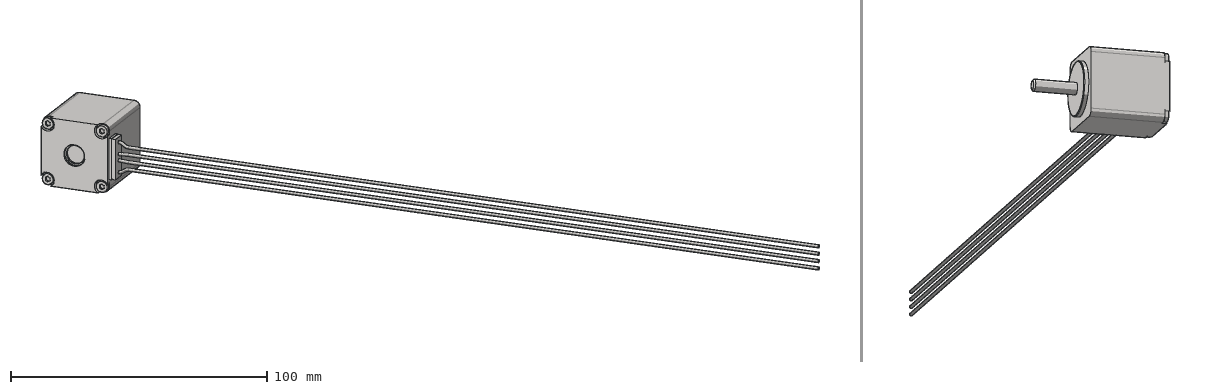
import cadquery as cq

total_length = 328.2
total_depth = 52.0
body_side = 28.2
body_depth = 32.0
corner_radius = 2.5

shaft_diameter = 5.0
shaft_chamfer = 0.5
pilot_diameter = 22.0
pilot_height = 2.0
pilot_chamfer = 0.3

recess_diameter = 9.0
recess_depth = 1.0
inner_recess_diameter = 7.5
inner_recess_depth = 2.0

screw_pitch = 23.0
pocket_diameter = 6.0
pocket_depth = 2.0
screw_head_diameter = 4.5
screw_head_height = 1.5
socket_sides = 6
socket_width = 2.0
socket_depth = 1.0

connector_height = 17.0
connector_depth = 6.2
connector_offset = 1.5
base_reach = 1.0
plug_reach = 1.5
plug_inset = 0.15

lead_diameter = 1.3
lead_pitch = 3.05
outer_start_z = 6.2
inner_start_z = 1.3
lead_shift = 0.3
spread_reach = 4.3

axis_x = body_side / 2
connector_end = body_side + base_reach + plug_reach
connector_y = connector_offset + connector_depth / 2
lead_y = connector_y + lead_shift
inner_end_z = lead_pitch / 2
outer_end_z = inner_end_z + lead_pitch


def disc_along_y(diameter, start, depth, x=axis_x, z=0):
    """Round section about an axis parallel to Y, from y = start to y = start + depth."""
    return cq.Workplane("XZ", origin=(x, start, z)).circle(diameter / 2).extrude(-depth)


def make_body():
    body = cq.Workplane("XY").box(body_side, body_depth, body_side, centered=(False, False, True))
    return body.edges("|Y").fillet(corner_radius)


def make_pilot():
    return disc_along_y(pilot_diameter, body_depth, pilot_height).faces(">Y").chamfer(pilot_chamfer)


def make_shaft():
    shaft = disc_along_y(shaft_diameter, body_depth, total_depth - body_depth)
    return shaft.faces(">Y").chamfer(shaft_chamfer)


def make_rear_recess():
    outer = disc_along_y(recess_diameter, 0, recess_depth)
    inner = disc_along_y(inner_recess_diameter, 0, inner_recess_depth)
    return outer.union(inner)


def make_screw_head(x, z):
    """Cap screw head standing on its pocket floor, with a hexagon socket."""
    head_start = pocket_depth - screw_head_height
    head = disc_along_y(screw_head_diameter, head_start, screw_head_height, x, z)
    socket = (
        cq.Workplane("XZ", origin=(x, head_start, z))
        .polygon(socket_sides, socket_width, circumscribed=True)
        .extrude(-socket_depth)
    )
    return head.cut(socket)


def connector_section(start, reach, inset):
    """Slice of the connector from x = start, drawn in by the inset on all four sides."""
    return (
        cq.Workplane("YZ", origin=(start, connector_y, 0))
        .rect(connector_depth - 2 * inset, connector_height - 2 * inset)
        .extrude(reach)
    )


def make_connector():
    base = connector_section(body_side, base_reach, 0)
    plug = connector_section(body_side + base_reach, plug_reach, plug_inset)
    return base.union(plug)


def make_lead(start_z, end_z):
    """Lead that leaves the connector at start_z, curves to end_z and runs straight to the end."""
    straight_start = connector_end + spread_reach
    path = (
        cq.Workplane("XZ", origin=(0, lead_y, 0))
        .moveTo(connector_end, start_z)
        .spline([(straight_start, end_z)], tangents=[(1, 0), (1, 0)], includeCurrent=True)
        .lineTo(total_length, end_z)
    )
    profile = cq.Workplane("YZ", origin=(connector_end, lead_y, start_z)).circle(lead_diameter / 2)
    return profile.sweep(path)


result = make_body().union(make_pilot()).union(make_shaft()).cut(make_rear_recess())

for x_side in (-1, 1):
    for z_side in (-1, 1):
        screw_x = axis_x + x_side * screw_pitch / 2
        screw_z = z_side * screw_pitch / 2
        result = result.cut(disc_along_y(pocket_diameter, 0, pocket_depth, screw_x, screw_z))
        result = result.union(make_screw_head(screw_x, screw_z))

result = result.union(make_connector())
for side in (-1, 1):
    result = result.union(make_lead(side * inner_start_z, side * inner_end_z))
    result = result.union(make_lead(side * outer_start_z, side * outer_end_z))